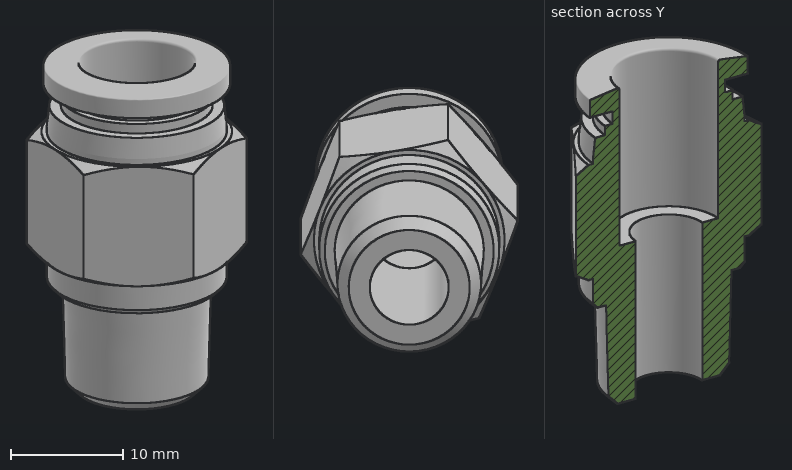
import cadquery as cq
import math

height = 31.35
hex_across_flats = 17.0
hex_bottom = 13.07
hex_top = 24.55
hex_chamfer_angle = 30.0

stem_tip_radius = 6.4
stem_root_radius = 6.65
stem_chamfer = 1.0

collar_radius = 8.03
collar_bottom = 10.1
collar_chamfer = 0.5

neck_straight_top = 25.08
neck_top = 27.05
neck_top_radius = 7.8

step_top = 27.95
step_radius = 6.77
waist_radius = 5.95
flange_bottom = 29.15
flange_edge_top = 30.95
flange_radius = 8.35
flange_crown_radius = 5.5
flange_edge_rounding = 0.15

through_radius = 3.5
socket_radius = 5.17
socket_depth = 15.68
mouth_rounding = flange_crown_radius - socket_radius


def revolve_profile(points):
    """Revolve a closed (radius, height) outline around the Z axis."""
    return cq.Workplane("XZ").polyline(points).close().revolve(360, (0, 0), (0, 1))


def make_turned_body():
    """Stem, collar, neck and release sleeve, with the rim of the flange rounded."""
    body = revolve_profile([
        (0, 0),
        (stem_tip_radius - stem_chamfer, 0),
        (stem_tip_radius, stem_chamfer),
        (stem_root_radius, collar_bottom),
        (collar_radius - collar_chamfer, collar_bottom),
        (collar_radius, collar_bottom + collar_chamfer),
        (collar_radius, neck_straight_top),
        (neck_top_radius, neck_top),
        (step_radius, neck_top),
        (step_radius, step_top),
        (waist_radius, step_top),
        (waist_radius, flange_bottom),
        (flange_radius, flange_bottom),
        (flange_radius, flange_edge_top),
        (flange_crown_radius, height),
        (0, height),
    ])
    rim = cq.selectors.BoxSelector(
        (-height, -height, flange_edge_top - flange_edge_rounding),
        (height, height, flange_edge_top + flange_edge_rounding),
    )
    return body.edges("%CIRCLE").edges(rim).fillet(flange_edge_rounding)


def make_hexagon():
    """Hexagon with corners on X, its corners cut back by a cone at both ends."""
    flat_radius = hex_across_flats / 2
    corner_radius = flat_radius / math.cos(math.radians(30))
    corner_drop = (corner_radius - flat_radius) * math.tan(math.radians(hex_chamfer_angle))
    prism = (
        cq.Workplane("XY")
        .workplane(offset=hex_bottom)
        .polygon(6, 2 * corner_radius)
        .extrude(hex_top - hex_bottom)
    )
    chamfer_envelope = revolve_profile([
        (0, hex_bottom),
        (flat_radius, hex_bottom),
        (corner_radius, hex_bottom + corner_drop),
        (corner_radius, hex_top - corner_drop),
        (flat_radius, hex_top),
        (0, hex_top),
    ])
    return prism.intersect(chamfer_envelope)


def make_bore():
    """Through hole opening into a wider tube socket with a rounded mouth."""
    socket_floor = height - socket_depth
    mouth_start = height - mouth_rounding
    arc_offset = mouth_rounding * math.sqrt(0.5)
    return (
        cq.Workplane("XZ")
        .lineTo(through_radius, 0)
        .lineTo(through_radius, socket_floor)
        .lineTo(socket_radius, socket_floor)
        .lineTo(socket_radius, mouth_start)
        .threePointArc(
            (flange_crown_radius - arc_offset, mouth_start + arc_offset),
            (flange_crown_radius, height),
        )
        .lineTo(0, height)
        .close()
        .revolve(360, (0, 0), (0, 1))
    )


result = make_turned_body().union(make_hexagon()).cut(make_bore())